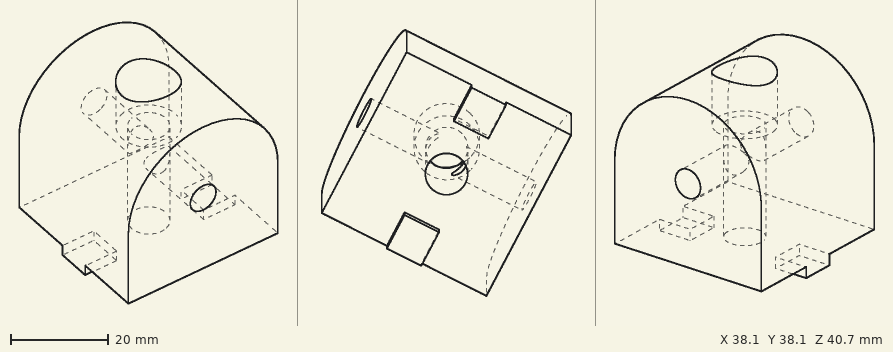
import cadquery as cq

width = 38.1
total_height = 40.65
cross_hole_diameter = 6.55
bolt_hole_diameter = 8.7
counterbore_diameter = 13.5
counterbore_depth = 12.7
key_width = 7.95
key_length = 7.95
key_height = 2.55

crown_radius = width / 2
body_height = total_height - key_height
axis_height = body_height - crown_radius


def make_body():
    """Block with a half-round top, its underside at Z = 0."""
    profile = (
        cq.Workplane("YZ", origin=(-width / 2, 0, 0))
        .moveTo(-crown_radius, 0)
        .lineTo(crown_radius, 0)
        .lineTo(crown_radius, axis_height)
        .threePointArc((0, body_height), (-crown_radius, axis_height))
        .close()
    )
    return profile.extrude(width)


def make_key(side):
    """Locating key under the body, flush with the side face at +Y or -Y."""
    center_y = side * (width - key_length) / 2
    key = cq.Workplane("XY").box(key_width, key_length, key_height, centered=(True, True, False))
    return key.translate((0, center_y, -key_height))


def vertical_cutter(diameter, bottom):
    """Cylinder on the vertical axis, from the given height to the crown."""
    return (
        cq.Workplane("XY", origin=(0, 0, bottom))
        .circle(diameter / 2)
        .extrude(body_height - bottom)
    )


result = make_body()
for side in (-1, 1):
    result = result.union(make_key(side))

result = result.cut(vertical_cutter(bolt_hole_diameter, 0))
result = result.cut(vertical_cutter(counterbore_diameter, body_height - counterbore_depth))

cross_hole = (
    cq.Workplane("YZ", origin=(-width / 2, 0, axis_height))
    .circle(cross_hole_diameter / 2)
    .extrude(width)
)
result = result.cut(cross_hole)